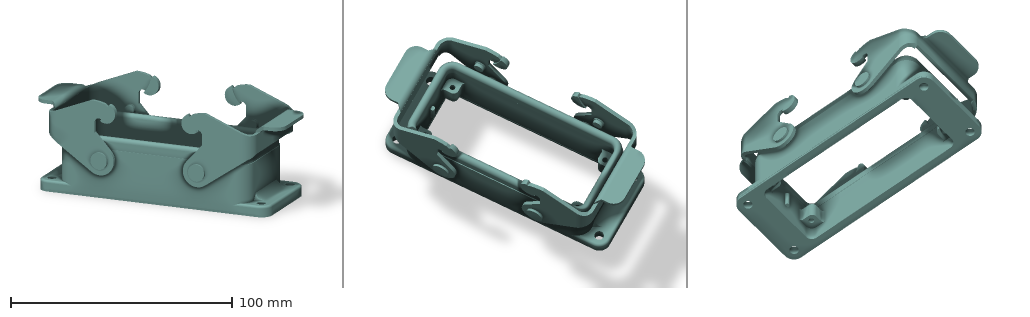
import cadquery as cq
import math

FLANGE_LENGTH = 113.8
HOUSING_WIDTH = 43.2
FLANGE_HEIGHT = 5.2
FLANGE_CORNER_RADIUS = 5.2
FLANGE_EDGE_RADIUS = 1.1
FLANGE_HOLE_DIAMETER = 4.3
FLANGE_HOLE_X = FLANGE_LENGTH / 2 - FLANGE_CORNER_RADIUS
FLANGE_HOLE_Y = HOUSING_WIDTH / 2 - FLANGE_CORNER_RADIUS
GASKET_HEIGHT = 1.1
GASKET_STEP = 0.1

BODY_LENGTH = 93.8
BODY_TOP = 23.3
BODY_CORNER_RADIUS = 7.1
RIM_STEP = 0.4
RIM_TOP = 28.7
RIM_THICKNESS = 3.8
OPENING_STEP = 0.1
OPENING_LENGTH = BODY_LENGTH - 2 * (RIM_STEP + RIM_THICKNESS - OPENING_STEP)
OPENING_WIDTH = HOUSING_WIDTH - 2 * (RIM_STEP + RIM_THICKNESS - OPENING_STEP)
OPENING_CORNER_RADIUS = BODY_CORNER_RADIUS - RIM_THICKNESS

RAMP_REACH = 4.9
RAMP_RISE = 3.0
RAMP_HALF_WIDTH = 11.6
RAMP_END_WIDTH = 2.5

EAR_X = 35.8
EAR_Y = 10.6
EAR_BOTTOM = 8.5
EAR_TOP = 16.9
EAR_CORNER_RADIUS = 2.4
EAR_ROOT_RADIUS = 1.2
EAR_HOLE_DIAMETER = 2.5
EAR_HOLE_X = 39.0
EAR_HOLE_Y = 13.4
KEY_RADIUS = 1.1
KEY_X = 42.1
WALL_OVERLAP = 1.2

SHEET = 1.7
LEVER_WIDTH = 51.9
LEVER_BACK_X = -50.9
LEVER_BEND_RADIUS = 6.0
PANEL_BOTTOM = 29.4
PANEL_TOP = 38.5
LOWER_EDGE_START = (-48.5, 27.4)
LOWER_EDGE_CURVE = (-50.2, 28.4)
PIVOT_X = -24.0
PIVOT_Z = 19.0
PIVOT_LOBE_RADIUS = 7.0
PIN_DIAMETER = 4.8
PIN_HEAD_DIAMETER = 8.0
OVERALL_WIDTH = 54.2
APEX_X = -27.9
LEVER_TOP = 47.0
THROAT_X = -26.4
THROAT_BOTTOM = 32.0
THROAT_TOP = 37.3
HOOK_X = -21.0
HOOK_Z = 41.4
HOOK_RADIUS = 4.6
HOOK_PAD = 0.7
HOOK_TIP_X = -19.4
HOOK_NOTCH = (-20.1, 44.7)
HOOK_LIP_X = -23.8
HOOK_CROWN_MIDDLE = (-24.4, 46.6)
HOOK_CROWN_END = (-21.5, 45.9)
HOOK_POCKET_START = (-23.3, 38.6)
HOOK_POCKET_MIDDLE = (-24.8, 38.9)
HOOK_PAD_EDGE_MIDDLE = (-21.2, 41.4)

TAB_END_X = -60.9
TAB_TOP = 40.9
TAB_BEND_RADIUS = 2.8
TAB_HALF_WIDTH = 14.7
TAB_ROOT_HALF_WIDTH = 17.7
TAB_CORNER_RADIUS = 5.6

BUTTON_X = -30.3
BUTTON_Z = 28.9
BUTTON_BASE_DIAMETER = 5.4
BUTTON_CAP_DIAMETER = 4.8
BUTTON_BASE_THICKNESS = 0.6
BUTTON_HEIGHT = 2.2

ARM_OUTER_Y = LEVER_WIDTH / 2
ARM_INNER_Y = ARM_OUTER_Y - SHEET


def rounded_block(length, width, bottom, top, corner_radius):
    """Upright block centred on Z with rounded vertical corners."""
    block = cq.Workplane("XY").workplane(offset=bottom).rect(length, width).extrude(top - bottom)
    return block.edges("|Z").fillet(corner_radius)


def cylinder_along_y(x, z, diameter, start_y, end_y):
    """Cylinder parallel to Y between two Y positions."""
    circle = cq.Workplane("XZ", origin=(0, start_y, 0)).center(x, z).circle(diameter / 2)
    return circle.extrude(start_y - end_y)


def mirrored_pair(solid, plane):
    """A solid together with its mirror image."""
    return solid.union(solid.mirror(plane))


def tangent_point(x, z, side):
    """Point where a line from (x, z) touches the pivot lobe, on the +1 or -1 side of the centre."""
    dx = x - PIVOT_X
    dz = z - PIVOT_Z
    angle = math.atan2(dz, dx) + side * math.acos(PIVOT_LOBE_RADIUS / math.hypot(dx, dz))
    return (
        PIVOT_X + PIVOT_LOBE_RADIUS * math.cos(angle),
        PIVOT_Z + PIVOT_LOBE_RADIUS * math.sin(angle),
    )


def hook_point(x, side):
    """Point of the round hook head at a given X, on its upper (+1) or lower (-1) half."""
    return x, HOOK_Z + side * math.sqrt(HOOK_RADIUS**2 - (x - HOOK_X) ** 2)


def end_ramp():
    """Concave ramp at the +X end wall, with its two ends cut off on a slant."""
    wall_x = BODY_LENGTH / 2
    ramp_foot = wall_x + RAMP_REACH
    ramp_top = FLANGE_HEIGHT + RAMP_RISE
    curve_radius = (RAMP_REACH**2 + RAMP_RISE**2) / (2 * RAMP_RISE)
    middle_x = wall_x + RAMP_REACH / 2
    middle_z = FLANGE_HEIGHT + curve_radius - math.sqrt(curve_radius**2 - (RAMP_REACH / 2) ** 2)
    half_width = RAMP_HALF_WIDTH + RAMP_END_WIDTH
    ramp = (
        cq.Workplane("XZ", origin=(0, half_width, 0))
        .moveTo(wall_x - WALL_OVERLAP, FLANGE_HEIGHT)
        .lineTo(ramp_foot, FLANGE_HEIGHT)
        .threePointArc((middle_x, middle_z), (wall_x, ramp_top))
        .lineTo(wall_x - WALL_OVERLAP, ramp_top)
        .close()
        .extrude(2 * half_width)
    )
    cutter_size = 4 * RAMP_REACH
    slant = cq.Plane(
        origin=(wall_x, half_width, FLANGE_HEIGHT),
        xDir=(0, -RAMP_END_WIDTH, RAMP_RISE),
        normal=(1 / RAMP_REACH, 1 / RAMP_END_WIDTH, 1 / RAMP_RISE),
    )
    cutter = cq.Workplane(slant).rect(cutter_size, cutter_size).extrude(cutter_size)
    return ramp.cut(mirrored_pair(cutter, "XZ"))


def screw_ear():
    """Ear in the +X +Y inner corner, blended into both walls."""
    wall_x = OPENING_LENGTH / 2
    wall_y = OPENING_WIDTH / 2
    root = EAR_ROOT_RADIUS
    turn = root * (1 - math.sqrt(0.5))
    bulge = EAR_CORNER_RADIUS * (1 - math.sqrt(0.5))
    ear = (
        cq.Workplane("XY", origin=(0, 0, EAR_BOTTOM))
        .moveTo(EAR_X - root, wall_y)
        .threePointArc((EAR_X - turn, wall_y - turn), (EAR_X, wall_y - root))
        .lineTo(EAR_X, EAR_Y + EAR_CORNER_RADIUS)
        .threePointArc((EAR_X + bulge, EAR_Y + bulge), (EAR_X + EAR_CORNER_RADIUS, EAR_Y))
        .lineTo(wall_x - root, EAR_Y)
        .threePointArc((wall_x - turn, EAR_Y - turn), (wall_x, EAR_Y - root))
        .lineTo(wall_x + WALL_OVERLAP, EAR_Y - root)
        .lineTo(wall_x + WALL_OVERLAP, wall_y + WALL_OVERLAP)
        .lineTo(EAR_X - root, wall_y + WALL_OVERLAP)
        .close()
        .extrude(EAR_TOP - EAR_BOTTOM)
    )
    hole = (
        cq.Workplane("XY", origin=(EAR_HOLE_X, EAR_HOLE_Y, EAR_BOTTOM))
        .circle(EAR_HOLE_DIAMETER / 2)
        .extrude(EAR_TOP - EAR_BOTTOM)
    )
    return ear.cut(hole)


def base_flange():
    """Rounded flange with its mounting holes, standing on a slightly inset gasket."""
    flange = rounded_block(
        FLANGE_LENGTH, HOUSING_WIDTH, GASKET_HEIGHT, FLANGE_HEIGHT, FLANGE_CORNER_RADIUS
    )
    flange = flange.faces(">Z").edges().fillet(FLANGE_EDGE_RADIUS)
    gasket = rounded_block(
        FLANGE_LENGTH,
        HOUSING_WIDTH - 2 * GASKET_STEP,
        0,
        GASKET_HEIGHT,
        FLANGE_CORNER_RADIUS - GASKET_STEP,
    )
    holes = (
        cq.Workplane("XY")
        .rect(2 * FLANGE_HOLE_X, 2 * FLANGE_HOLE_Y, forConstruction=True)
        .vertices()
        .circle(FLANGE_HOLE_DIAMETER / 2)
        .extrude(FLANGE_HEIGHT)
    )
    return flange.union(gasket).cut(holes)


def narrow_opening():
    """Opening through the gasket and the rim, slightly smaller than between the walls."""
    return rounded_block(
        OPENING_LENGTH - 2 * OPENING_STEP,
        OPENING_WIDTH - 2 * OPENING_STEP,
        0,
        RIM_TOP,
        OPENING_CORNER_RADIUS,
    )


def sealing_rim():
    """Slightly inset ring above the walls, topped by a full-round bead."""
    bead_radius = RIM_THICKNESS / 2
    bead_z = RIM_TOP - bead_radius
    length = BODY_LENGTH - 2 * RIM_STEP
    width = HOUSING_WIDTH - 2 * RIM_STEP
    outer = rounded_block(length, width, BODY_TOP, bead_z, BODY_CORNER_RADIUS)
    middle = rounded_block(
        length - RIM_THICKNESS,
        width - RIM_THICKNESS,
        BODY_TOP,
        bead_z,
        BODY_CORNER_RADIUS - bead_radius,
    )
    section_x = (length - RIM_THICKNESS) / 2
    section = cq.Workplane("XZ", origin=(section_x, 0, bead_z)).circle(bead_radius)
    bead = section.sweep(middle.faces(">Z").wires())
    return outer.cut(narrow_opening()).union(bead)


def housing():
    """Open frame with flange, rim, ramps, ears and key ribs."""
    walls = rounded_block(BODY_LENGTH, HOUSING_WIDTH, GASKET_HEIGHT, BODY_TOP, BODY_CORNER_RADIUS)
    opening = rounded_block(
        OPENING_LENGTH, OPENING_WIDTH, GASKET_HEIGHT, BODY_TOP, OPENING_CORNER_RADIUS
    )
    base = base_flange().cut(narrow_opening())
    frame = base.union(walls).cut(opening).union(sealing_rim())
    key = (
        cq.Workplane("XY", origin=(KEY_X, 0, EAR_BOTTOM))
        .circle(KEY_RADIUS)
        .extrude(EAR_TOP - EAR_BOTTOM)
    )
    end_details = end_ramp().union(key).union(mirrored_pair(screw_ear(), "XZ"))
    return frame.union(mirrored_pair(end_details, "YZ"))


def lever_outline():
    """Side profile of the -X lever, extruded over the full lever width."""
    return (
        cq.Workplane("XZ", origin=(0, ARM_OUTER_Y, 0))
        .moveTo(LEVER_BACK_X, PANEL_TOP)
        .lineTo(LEVER_BACK_X + SHEET, PANEL_TOP)
        .lineTo(APEX_X, LEVER_TOP)
        .threePointArc(HOOK_CROWN_MIDDLE, HOOK_CROWN_END)
        .lineTo(*HOOK_NOTCH)
        .lineTo(*hook_point(HOOK_TIP_X, 1))
        .threePointArc((HOOK_X + HOOK_RADIUS, HOOK_Z), hook_point(HOOK_LIP_X, -1))
        .lineTo(*HOOK_POCKET_START)
        .threePointArc(HOOK_POCKET_MIDDLE, (THROAT_X, THROAT_TOP))
        .lineTo(THROAT_X, THROAT_BOTTOM)
        .lineTo(*tangent_point(THROAT_X, THROAT_BOTTOM, -1))
        .threePointArc(
            (PIVOT_X, PIVOT_Z - PIVOT_LOBE_RADIUS), tangent_point(*LOWER_EDGE_START, 1)
        )
        .lineTo(*LOWER_EDGE_START)
        .threePointArc(LOWER_EDGE_CURVE, (LEVER_BACK_X, PANEL_BOTTOM))
        .close()
        .extrude(LEVER_WIDTH)
    )


def bent_sheet():
    """Tall U-shaped sheet: a back panel and two arms reaching X = 0."""
    length = -LEVER_BACK_X
    outer = (
        cq.Workplane("XY")
        .center(LEVER_BACK_X + length / 2, 0)
        .rect(length, LEVER_WIDTH)
        .extrude(LEVER_TOP)
        .edges("|Z and <X")
        .fillet(LEVER_BEND_RADIUS)
    )
    inner = (
        cq.Workplane("XY")
        .center(LEVER_BACK_X + SHEET + length / 2, 0)
        .rect(length, LEVER_WIDTH - 2 * SHEET)
        .extrude(LEVER_TOP)
        .edges("|Z and <X")
        .fillet(LEVER_BEND_RADIUS - SHEET)
    )
    return outer.cut(inner)


def finger_tab():
    """Outward tab that curves off the top of the back panel."""
    inner_x = LEVER_BACK_X + SHEET
    bend_x = inner_x - TAB_BEND_RADIUS
    bend_z = TAB_TOP - TAB_BEND_RADIUS
    inner_bend = TAB_BEND_RADIUS - SHEET
    diagonal = math.sqrt(0.5)
    strip = (
        cq.Workplane("XZ", origin=(0, TAB_ROOT_HALF_WIDTH, 0))
        .moveTo(TAB_END_X, TAB_TOP)
        .lineTo(bend_x, TAB_TOP)
        .threePointArc(
            (bend_x + TAB_BEND_RADIUS * diagonal, bend_z + TAB_BEND_RADIUS * diagonal), (inner_x, bend_z)
        )
        .lineTo(LEVER_BACK_X, bend_z)
        .threePointArc(
            (bend_x + inner_bend * diagonal, bend_z + inner_bend * diagonal), (bend_x, bend_z + inner_bend)
        )
        .lineTo(TAB_END_X, bend_z + inner_bend)
        .close()
        .extrude(2 * TAB_ROOT_HALF_WIDTH)
    )
    outline = (
        cq.Workplane("XY", origin=(0, 0, bend_z))
        .polyline(
            [
                (TAB_END_X, -TAB_HALF_WIDTH),
                (bend_x, -TAB_HALF_WIDTH),
                (inner_x, -TAB_ROOT_HALF_WIDTH),
                (inner_x, TAB_ROOT_HALF_WIDTH),
                (bend_x, TAB_HALF_WIDTH),
                (TAB_END_X, TAB_HALF_WIDTH),
            ]
        )
        .close()
        .extrude(TAB_BEND_RADIUS)
        .edges("|Z and <X")
        .fillet(TAB_CORNER_RADIUS)
    )
    return strip.intersect(outline)


def arm_details():
    """Hook pad, stop button and pivot pin of the +Y arm."""
    pad = (
        cq.Workplane("XZ", origin=(0, ARM_OUTER_Y, 0))
        .moveTo(*HOOK_NOTCH)
        .lineTo(*hook_point(HOOK_TIP_X, 1))
        .threePointArc((HOOK_X + HOOK_RADIUS, HOOK_Z), hook_point(HOOK_LIP_X, -1))
        .threePointArc(HOOK_PAD_EDGE_MIDDLE, HOOK_NOTCH)
        .close()
        .extrude(SHEET + HOOK_PAD)
    )
    button_base_y = ARM_INNER_Y - BUTTON_BASE_THICKNESS
    button_end_y = ARM_INNER_Y - BUTTON_HEIGHT
    base = cylinder_along_y(BUTTON_X, BUTTON_Z, BUTTON_BASE_DIAMETER, ARM_INNER_Y, button_base_y)
    cap = cylinder_along_y(BUTTON_X, BUTTON_Z, BUTTON_CAP_DIAMETER, button_base_y, button_end_y)
    pin_root_y = (HOUSING_WIDTH + OPENING_WIDTH) / 4
    pin = cylinder_along_y(PIVOT_X, PIVOT_Z, PIN_DIAMETER, ARM_OUTER_Y, pin_root_y)
    head = cylinder_along_y(PIVOT_X, PIVOT_Z, PIN_HEAD_DIAMETER, OVERALL_WIDTH / 2, ARM_OUTER_Y)
    return pad.union(base).union(cap).union(pin).union(head)


def lever():
    """Complete -X lever with its pins."""
    panel_half_width = ARM_OUTER_Y - LEVER_BEND_RADIUS
    panel_clearance = (
        cq.Workplane("XY")
        .center(LEVER_BACK_X, 0)
        .rect(2 * LEVER_BEND_RADIUS, 2 * panel_half_width)
        .extrude(PANEL_BOTTOM)
    )
    sheet = bent_sheet().intersect(lever_outline()).cut(panel_clearance)
    return sheet.union(finger_tab()).union(mirrored_pair(arm_details(), "XZ"))


result = housing().union(mirrored_pair(lever(), "YZ"))